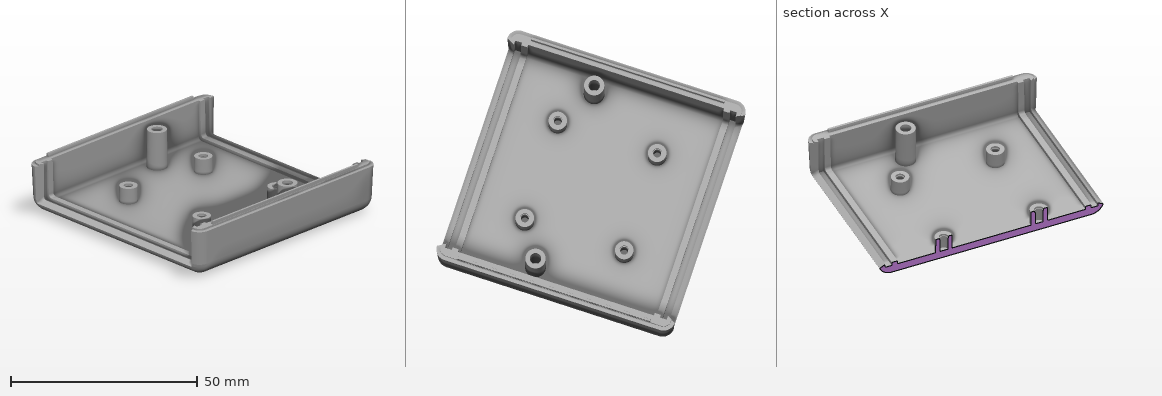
import cadquery as cq
import math

LENGTH_X = 66.2
LENGTH_Y = 67.2
RIM_Z = 13.45
CORNER_RADIUS = 3.15
BOTTOM_RADIUS = 3.9
OUTER_DRAFT = 2.0

LIP_STEP = 1.1
LIP_HEIGHT = 0.55
LIP_Z = RIM_Z + LIP_HEIGHT
RIDGE_Z = 14.9
RIDGE_LENGTH = 54.55
RIDGE_TOP_WIDTH = 0.6
RIDGE_BASE_WIDTH = 0.8
RIDGE_INSET = 0.1

FLOOR_Z = 2.5
FLOOR_FILLET = 1.1
CAVITY_HALF_X = 29.9
CAVITY_DRAFT = 1.0
CAVITY_HALF_Y = 27.7

FRAME_Z = 3.5
FRAME_HALF_X = 29.15
FRAME_DRAFT = 2.0
FRAME_FILLET = 0.95
SLOT_INNER_Y = 29.4
SLOT_OUTER_Y = 31.3
MOUTH_HALF_X = 28.75
MOUTH_DRAFT = 0.0
MOUTH_END_Y = 33.85
MOUTH_FLARE = 1.35
MOUTH_END_FILLET = 0.1

TALL_BOSS_X = 25.0
TALL_BOSS_Y = 7.4
TALL_BOSS_TOP_Z = RIM_Z
TALL_BOSS_DIAMETER = 5.45
TALL_BOSS_HOLE = 3.0
SHORT_BOSS_XY = 14.05
SHORT_BOSS_TOP_Z = 7.0
SHORT_BOSS_DIAMETER = 5.0
SHORT_BOSS_HOLE = 2.15
SHORT_BOSS_COUNTERBORE = 2.55
COUNTERBORE_DEPTH = 0.6
BOSS_DRAFT = 0.5

CUT_CLEARANCE = 0.7
CUT_TOP_Z = RIDGE_Z + CUT_CLEARANCE


def outer_shell():
    """Solid tray with drafted sides, rounded corners and a rounded bottom edge."""
    block = (
        cq.Workplane("XY", origin=(0, 0, RIM_Z))
        .rect(LENGTH_X, LENGTH_Y)
        .extrude(-RIM_Z, taper=OUTER_DRAFT)
    )
    rounded = block.edges("not(|X or |Y)").fillet(CORNER_RADIUS)
    return rounded.faces("<Z").edges().fillet(BOTTOM_RADIUS)


def lip():
    """Raised step inside the rim outline."""
    return (
        cq.Workplane("XY", origin=(0, 0, RIM_Z))
        .rect(LENGTH_X - 2 * LIP_STEP, LENGTH_Y - 2 * LIP_STEP)
        .extrude(LIP_HEIGHT)
        .edges("|Z")
        .fillet(CORNER_RADIUS - LIP_STEP)
    )


def opening_wire(y, half_x, draft, bottom_z, fillet):
    """Upright trapezoid across X, half_x wide at the lip, with rounded lower corners."""
    slope = math.tan(math.radians(draft))
    top_x = half_x + slope * (CUT_TOP_Z - LIP_Z)
    bottom_x = half_x - slope * (LIP_Z - bottom_z)
    lower_corners = [cq.Vector(-bottom_x, y, bottom_z), cq.Vector(bottom_x, y, bottom_z)]
    upper_corners = [cq.Vector(top_x, y, CUT_TOP_Z), cq.Vector(-top_x, y, CUT_TOP_Z)]
    wire = cq.Wire.makePolygon(lower_corners + upper_corners, close=True)
    if fillet == 0:
        return wire
    rounded = [v for v in wire.Vertices() if v.Z < CUT_TOP_Z - fillet]
    return wire.fillet2D(fillet, rounded)


def opening(start, end):
    """Solid between two opening wires."""
    return cq.Solid.makeLoft([opening_wire(*start), opening_wire(*end)], True)


def interior():
    """Everything removed inside the tray: cavity, frames, slots and flared mouths."""
    cavity = (CAVITY_HALF_X, CAVITY_DRAFT, FLOOR_Z, FLOOR_FILLET)
    frame = (FRAME_HALF_X, FRAME_DRAFT, FRAME_Z, FRAME_FILLET)
    slot = (CAVITY_HALF_X, CAVITY_DRAFT, FLOOR_Z, 0)
    mouth = (MOUTH_HALF_X, MOUTH_DRAFT, FRAME_Z, FRAME_FILLET)
    mouth_end = (MOUTH_HALF_X + MOUTH_FLARE, MOUTH_DRAFT, FRAME_Z - MOUTH_FLARE, MOUTH_END_FILLET)
    tool = cq.Workplane(opening((-CAVITY_HALF_Y, *cavity), (CAVITY_HALF_Y, *cavity)))
    tool = tool.union(opening((-SLOT_OUTER_Y, *frame), (SLOT_OUTER_Y, *frame)))
    for side in (-1, 1):
        tool = tool.union(opening((side * SLOT_INNER_Y, *slot), (side * SLOT_OUTER_Y, *slot)))
        tool = tool.union(opening((side * SLOT_OUTER_Y, *mouth), (side * MOUTH_END_Y, *mouth_end)))
    return tool


def snap_ridge():
    """Ridge on the +X lip: upright outer face, sloped inner face."""
    outer_x = LENGTH_X / 2 - LIP_STEP - RIDGE_INSET
    return (
        cq.Workplane("XZ", origin=(0, RIDGE_LENGTH / 2, 0))
        .moveTo(outer_x, RIM_Z)
        .lineTo(outer_x, RIDGE_Z)
        .lineTo(outer_x - RIDGE_TOP_WIDTH, RIDGE_Z)
        .lineTo(outer_x - RIDGE_BASE_WIDTH, LIP_Z)
        .lineTo(outer_x - RIDGE_BASE_WIDTH, RIM_Z)
        .close()
        .extrude(RIDGE_LENGTH)
    )


def bosses(points, diameter, top_z):
    """Round posts standing in the floor, slightly wider towards the base."""
    return (
        cq.Workplane("XY", origin=(0, 0, top_z))
        .pushPoints(points)
        .circle(diameter / 2)
        .extrude(FLOOR_Z / 2 - top_z, taper=-BOSS_DRAFT)
    )


def holes(points, diameter, bottom_z):
    """Cylinders that open upwards from a bottom height."""
    return (
        cq.Workplane("XY", origin=(0, 0, bottom_z))
        .pushPoints(points)
        .circle(diameter / 2)
        .extrude(CUT_TOP_Z - bottom_z)
    )


tall_points = [(side * TALL_BOSS_X, TALL_BOSS_Y) for side in (-1, 1)]
short_points = [(x * SHORT_BOSS_XY, y * SHORT_BOSS_XY) for x in (-1, 1) for y in (-1, 1)]

result = outer_shell().union(lip()).cut(interior())

ridge = snap_ridge()
result = result.union(ridge).union(ridge.mirror("YZ"))

result = result.union(bosses(tall_points, TALL_BOSS_DIAMETER, TALL_BOSS_TOP_Z))
result = result.union(bosses(short_points, SHORT_BOSS_DIAMETER, SHORT_BOSS_TOP_Z))
result = result.cut(holes(tall_points, TALL_BOSS_HOLE, 0))
result = result.cut(holes(short_points, SHORT_BOSS_HOLE, FLOOR_Z))
result = result.cut(holes(short_points, SHORT_BOSS_COUNTERBORE, SHORT_BOSS_TOP_Z - COUNTERBORE_DEPTH))